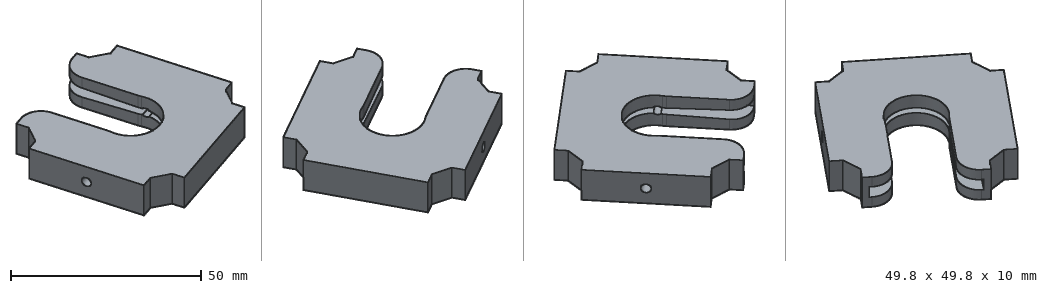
import cadquery as cq
import math

side = 49.8
thickness = 10.0
half = side / 2

corner_depth = 7.85
corner_shoulder = 3.65

mouth_width = 17.0
mouth_corner_radius = 6.0
throat_diameter = 17.35
throat_blend_radius = 6.45

pocket_entry_width = 30.2
pocket_entry_height = 3.4
pocket_end_width = 28.0
pocket_end_height = 1.55
inner_start_height = 1.9
pocket_end_depth = 13.95
taper_end_width = 28.8
taper_end_height = pocket_entry_height - (pocket_entry_width - taper_end_width)

cross_hole_diameter = 2.8


def make_corner_cutout():
    """Stepped cutout at the +X +Y corner: two square shoulders joined by a diagonal."""
    edge = half - corner_depth
    shoulder = half - corner_shoulder
    return (
        cq.Workplane("XY")
        .polyline([(edge, half), (edge, shoulder), (shoulder, edge), (half, edge), (half, half)])
        .close()
        .extrude(thickness / 2, both=True)
    )


def make_plate():
    plate = cq.Workplane("XY").box(side, side, thickness)
    cutout = make_corner_cutout()
    for angle in (0, 90, 180, 270):
        plate = plate.cut(cutout.rotate((0, 0, 0), (0, 0, 1), angle))
    return plate


def make_mouth():
    """Straight channel with flared entry corners, ending in a round throat."""
    half_width = mouth_width / 2
    radius = mouth_corner_radius
    flare_y = half_width + radius
    channel = (
        cq.Workplane("XY")
        .moveTo(-half, -flare_y)
        .radiusArc((-half + radius, -half_width), radius)
        .lineTo(0, -half_width)
        .lineTo(0, half_width)
        .lineTo(-half + radius, half_width)
        .radiusArc((-half, flare_y), radius)
        .close()
        .extrude(thickness / 2, both=True)
    )
    throat = cq.Workplane("XY").circle(throat_diameter / 2).extrude(thickness / 2, both=True)
    junction_x = -math.sqrt((throat_diameter / 2) ** 2 - half_width**2)
    edge_margin = 0.5
    edge_zone = cq.selectors.BoxSelector(
        (junction_x - edge_margin, -mouth_width, -thickness),
        (junction_x + edge_margin, mouth_width, thickness),
    )
    return channel.union(throat).edges("|Z").edges(edge_zone).fillet(throat_blend_radius)


def make_pocket():
    """Rectangular cavity tapering on all sides to X = 0, then only in height."""
    lead_in = (
        cq.Workplane("YZ", origin=(-half, 0, 0))
        .rect(pocket_entry_width, pocket_entry_height)
        .workplane(offset=half)
        .rect(taper_end_width, taper_end_height)
        .loft(ruled=True)
    )
    inner_end = (
        cq.Workplane("YZ")
        .rect(pocket_end_width, inner_start_height)
        .workplane(offset=pocket_end_depth)
        .rect(pocket_end_width, pocket_end_height)
        .loft(ruled=True)
    )
    return lead_in.union(inner_end)


def make_cross_hole():
    return cq.Workplane("XZ").circle(cross_hole_diameter / 2).extrude(half, both=True)


result = make_plate().cut(make_mouth()).cut(make_pocket()).cut(make_cross_hole())